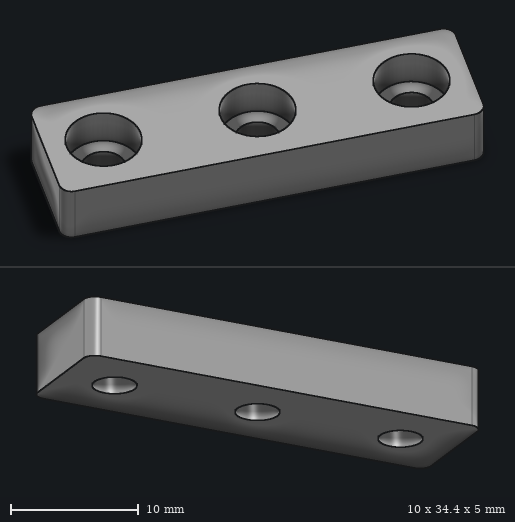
import cadquery as cq

width = 10.0
length = 34.4
height = 5.0
corner_radius = 1.0

hole_count = 3
hole_spacing = 12.5
hole_diameter = 3.5
counterbore_diameter = 6.0
counterbore_depth = 3.0


def make_bar():
    """Rectangular bar standing on Z = 0 with rounded vertical edges."""
    bar = cq.Workplane("XY").box(width, length, height, centered=(True, True, False))
    return bar.edges("|Z").fillet(corner_radius)


def drill_holes(bar):
    """Cut the row of counterbored through holes from the top face."""
    return (
        bar.faces(">Z")
        .workplane(origin=(0, 0, height))
        .rarray(0.35, hole_spacing, 1, hole_count)
        .cboreHole(hole_diameter, counterbore_diameter, counterbore_depth)
    )


result = drill_holes(make_bar())